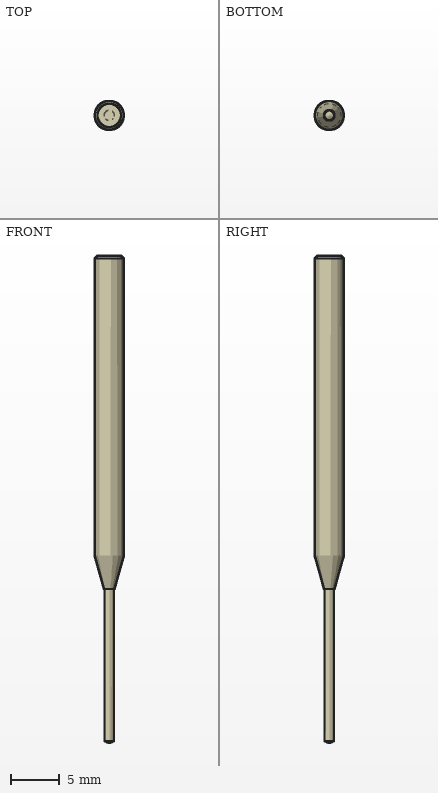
import cadquery as cq
import math

overall_length = 50.0
shank_diameter = 3.0
drill_diameter = 1.0
drill_length = 15.8
point_angle = 130.0
taper_length = 3.4
taper_end_diameter = 1.1
chamfer_width = 0.3
chamfer_height = 0.3

shank_radius = shank_diameter / 2
drill_radius = drill_diameter / 2
taper_end_radius = taper_end_diameter / 2
point_height = drill_radius / math.tan(math.radians(point_angle / 2))
shoulder_z = drill_length + taper_length


def revolve_profile(points):
    """Revolve a closed (radius, z) outline about the tool axis."""
    outline = cq.Workplane("XZ").polyline(points).close()
    return outline.revolve(360, (0, 0), (0, 1))


def make_shank():
    """Cylindrical shank with a chamfered top and a taper down to the drill."""
    return revolve_profile([
        (0, drill_length),
        (taper_end_radius, drill_length),
        (shank_radius, shoulder_z),
        (shank_radius, overall_length - chamfer_height),
        (shank_radius - chamfer_width, overall_length),
        (0, overall_length),
    ])


def make_drill():
    """Slender drill with a conical point, butted against the shank taper."""
    return revolve_profile([
        (0, 0),
        (drill_radius, point_height),
        (drill_radius, drill_length),
        (0, drill_length),
    ])


shank = make_shank()
drill = make_drill()

result = cq.Compound.makeCompound([shank.val(), drill.val()])